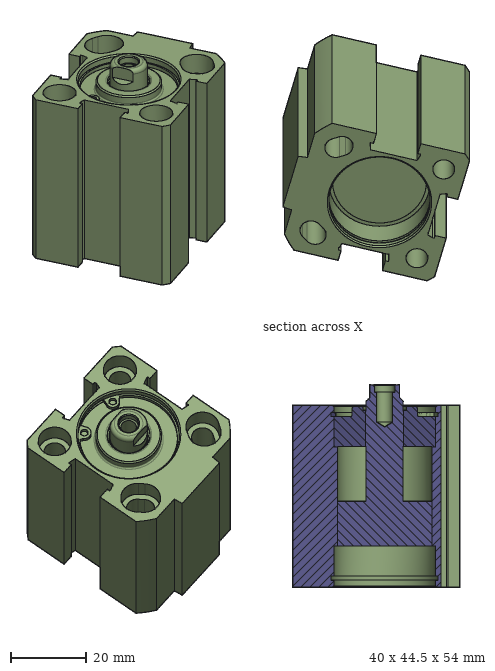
import cadquery as cq
import math

half_width = 20.0
body_height = 48.5
rod_tip_height = 54.0
back_face = 22.0
corner_radius = 27.1

hump_top = 24.5
hump_base_half_width = 8.25
hump_top_half_width = 8.0

slot_half_width = 6.1
slot_lip_depth = 3.1
slot_undercut_half_width = 6.9
slot_undercut_width = 0.5
slot_floor_half_width = 6.4
side_slot_floor = 14.8
front_slot_floor = 15.0

hole_pitch = 14.0
hole_diameter = 5.8
counterbore_diameter = 8.8
counterbore_depth = 5.75
elongation = (1.0, 1.45)

bore_diameter = 25.0
seat_diameter = 27.0
seat_length = 11.0
mouth_chamfer = 0.4
groove_diameter = 28.4
groove_width = 1.05
groove_far_side = 3.0

cover_diameter = 26.9
cover_top = body_height - groove_far_side
cover_bottom = body_height - seat_length
collar_diameter = 17.5
collar_setback = 0.3
collar_top = body_height - collar_setback
collar_chamfer = 0.4
collar_root_radius = 0.45
wiper_diameter = 11.4
wiper_depth = 1.0
wiper_lip_width = 0.4
wiper_lip_depth = 0.1
rod_bore_mouth_diameter = 10.48

ring_inner_radius = 13.0
ear_x = 6.1
ear_y = -10.2
ear_radius = 1.8
ear_hole_diameter = 2.0
ear_outer_angle = 49.0
ring_end_angle = 68.0

rod_diameter = 10.0
rod_tip_radius = 1.2
flat_half_gap = 4.0
flat_length = 3.5
thread_diameter = 4.13
thread_relief_diameter = 5.25
thread_relief_depth = 2.0
thread_mouth_diameter = 5.8
thread_depth = 10.0
drill_half_angle = 59.0
piston_length = 12.0


def cylinder(diameter, z_low, z_high):
    return cq.Workplane("XY").workplane(offset=z_low).circle(diameter / 2).extrude(z_high - z_low)


def cone(diameter_low, diameter_high, z_low, z_high):
    solid = cq.Solid.makeCone(
        diameter_low / 2, diameter_high / 2, z_high - z_low, pnt=cq.Vector(0, 0, z_low)
    )
    return cq.Workplane(solid)


def outer_block():
    block = (
        cq.Workplane("XY")
        .moveTo(0, (back_face - half_width) / 2)
        .rect(2 * half_width, back_face + half_width)
        .extrude(body_height)
    )
    block = block.intersect(cylinder(2 * corner_radius, 0, body_height))
    hump = (
        cq.Workplane("XY")
        .polyline([
            (-hump_base_half_width, 0),
            (-hump_base_half_width, back_face),
            (-hump_top_half_width, hump_top),
            (hump_top_half_width, hump_top),
            (hump_base_half_width, back_face),
            (hump_base_half_width, 0),
        ])
        .close()
        .extrude(body_height)
    )
    return block.union(hump)


def sensor_slot(floor, turn):
    """Undercut slot opening in -Y, then turned about the axis."""
    undercut = -half_width + slot_lip_depth
    right_side = [
        (slot_half_width, -half_width),
        (slot_half_width, undercut),
        (slot_undercut_half_width, undercut),
        (slot_undercut_half_width, undercut + slot_undercut_width),
        (slot_floor_half_width, -floor),
    ]
    left_side = [(-x, y) for x, y in reversed(right_side)]
    slot = cq.Workplane("XY").polyline(right_side + left_side).close().extrude(body_height)
    return slot.rotate((0, 0, 0), (0, 0, 1), turn)


def long_hole(start, end, diameter, z_low):
    """Vertical cut from z_low up to the top face, round or stretched from start to end."""
    tool = cq.Workplane("XY").workplane(offset=z_low).center(*start)
    height = body_height - z_low
    if start == end:
        return tool.circle(diameter / 2).extrude(height)
    dx = end[0] - start[0]
    dy = end[1] - start[1]
    length = math.hypot(dx, dy)
    angle = math.degrees(math.atan2(dy, dx))
    return tool.center(dx / 2, dy / 2).slot2D(length + diameter, diameter, angle).extrude(height)


def mounting_hole(start, end):
    through = long_hole(start, end, hole_diameter, 0)
    counterbore = long_hole(start, end, counterbore_diameter, body_height - counterbore_depth)
    return through.union(counterbore)


def bore_end():
    """Seat, retaining groove and chamfered mouth at the top end."""
    groove_bottom = body_height - groove_far_side
    seat = cylinder(seat_diameter, body_height - seat_length, body_height)
    groove = cylinder(groove_diameter, groove_bottom, groove_bottom + groove_width)
    mouth = cone(
        seat_diameter, seat_diameter + 2 * mouth_chamfer, body_height - mouth_chamfer, body_height
    )
    return seat.union(groove).union(mouth)


def make_housing():
    housing = outer_block()
    for floor, turn in ((front_slot_floor, 0), (side_slot_floor, 90), (side_slot_floor, -90)):
        housing = housing.cut(sensor_slot(floor, turn))
    for side in (-1, 1):
        front_hole = (side * hole_pitch, -hole_pitch)
        back_hole = (side * hole_pitch, hole_pitch)
        back_hole_end = (side * (hole_pitch - elongation[0]), hole_pitch + elongation[1])
        housing = housing.cut(mounting_hole(front_hole, front_hole))
        housing = housing.cut(mounting_hole(back_hole, back_hole_end))
    top_end = bore_end()
    middle = (0, 0, body_height / 2)
    bottom_end = top_end.rotate(middle, (1, 0, body_height / 2), 180)
    return housing.cut(cylinder(bore_diameter, 0, body_height)).cut(top_end).cut(bottom_end)


def make_cover():
    flange_radius = cover_diameter / 2
    collar_radius = collar_diameter / 2
    root_offset = collar_root_radius * (1 - math.sqrt(0.5))
    cover = (
        cq.Workplane("XZ")
        .moveTo(0, cover_bottom)
        .lineTo(flange_radius, cover_bottom)
        .lineTo(flange_radius, cover_top)
        .lineTo(collar_radius + collar_root_radius, cover_top)
        .threePointArc(
            (collar_radius + root_offset, cover_top + root_offset),
            (collar_radius, cover_top + collar_root_radius),
        )
        .lineTo(collar_radius, collar_top - collar_chamfer)
        .lineTo(collar_radius - collar_chamfer, collar_top)
        .lineTo(0, collar_top)
        .close()
        .revolve(360, (0, 0, 0), (0, 1, 0))
    )

    wiper_floor = collar_top - wiper_depth
    rod_bore_chamfer = (rod_bore_mouth_diameter - rod_diameter) / 2
    cover = cover.cut(cylinder(rod_diameter, cover_bottom, collar_top))
    cover = cover.cut(cylinder(wiper_diameter, wiper_floor, collar_top))
    cover = cover.cut(cone(
        wiper_diameter, wiper_diameter + 2 * wiper_lip_width, collar_top - wiper_lip_depth, collar_top
    ))
    return cover.cut(cone(
        rod_diameter, rod_bore_mouth_diameter, wiper_floor - rod_bore_chamfer, wiper_floor
    ))


def polar_point(radius, angle):
    return radius * math.cos(math.radians(angle)), radius * math.sin(math.radians(angle))


def make_ring():
    outer_radius = groove_diameter / 2
    ring_plane = cq.Workplane("XY").workplane(offset=cover_top)
    ring = ring_plane.circle(outer_radius).circle(ring_inner_radius).extrude(groove_width)
    gap = (
        ring_plane.polyline([
            (0, 0),
            polar_point(2 * outer_radius, -ring_end_angle),
            polar_point(2 * outer_radius, ring_end_angle - 180),
        ])
        .close()
        .extrude(groove_width)
    )
    ring = ring.cut(gap)

    ear_distance = math.hypot(ear_x, ear_y)
    across_x = -ear_radius * ear_y / ear_distance
    across_y = ear_radius * ear_x / ear_distance
    root = (
        ring_plane.moveTo(ear_x - across_x, ear_y - across_y)
        .lineTo(ear_x + across_x, ear_y + across_y)
        .lineTo(*polar_point(ring_inner_radius, -ear_outer_angle))
        .lineTo(*polar_point(outer_radius, -ear_outer_angle))
        .threePointArc(
            polar_point(outer_radius, -(ear_outer_angle + ring_end_angle) / 2),
            polar_point(outer_radius, -ring_end_angle),
        )
        .lineTo(*polar_point(ring_inner_radius, -ring_end_angle))
        .close()
        .extrude(groove_width)
    )
    eye = ring_plane.center(ear_x, ear_y).circle(ear_radius).extrude(groove_width)
    eye_hole = ring_plane.center(ear_x, ear_y).circle(ear_hole_diameter / 2).extrude(groove_width)
    ear = root.union(eye).cut(eye_hole)
    return ring.union(ear).union(ear.mirror("YZ"))


def thread_hole():
    r = thread_diameter / 2
    relief = thread_relief_diameter / 2
    mouth = thread_mouth_diameter / 2
    relief_floor = rod_tip_height - thread_relief_depth
    hole_floor = rod_tip_height - thread_depth
    return (
        cq.Workplane("XZ")
        .polyline([
            (0, rod_tip_height),
            (mouth, rod_tip_height),
            (relief, rod_tip_height - (mouth - relief)),
            (relief, relief_floor),
            (r, relief_floor),
            (r, hole_floor),
            (0, hole_floor - r / math.tan(math.radians(drill_half_angle))),
        ])
        .close()
        .revolve(360, (0, 0, 0), (0, 1, 0))
    )


def wrench_flat(side):
    r = rod_diameter / 2
    flat_end = rod_tip_height - flat_length
    return (
        cq.Workplane("YZ")
        .workplane(offset=-r)
        .polyline([
            (side * flat_half_gap, rod_tip_height),
            (side * flat_half_gap, flat_end),
            (side * r, flat_end - (r - flat_half_gap)),
            (side * r, rod_tip_height),
        ])
        .close()
        .extrude(rod_diameter)
    )


def make_rod():
    rod = cylinder(rod_diameter, seat_length, rod_tip_height).faces(">Z").edges().fillet(rod_tip_radius)
    rod = rod.union(cylinder(bore_diameter, seat_length, seat_length + piston_length))
    for side in (-1, 1):
        rod = rod.cut(wrench_flat(side))
    return rod.cut(thread_hole())


housing = make_housing()
cover = make_cover()
retaining_ring = make_ring()
piston_rod = make_rod()

result = cq.Compound.makeCompound([
    housing.val(), cover.val(), retaining_ring.val(), piston_rod.val(),
])